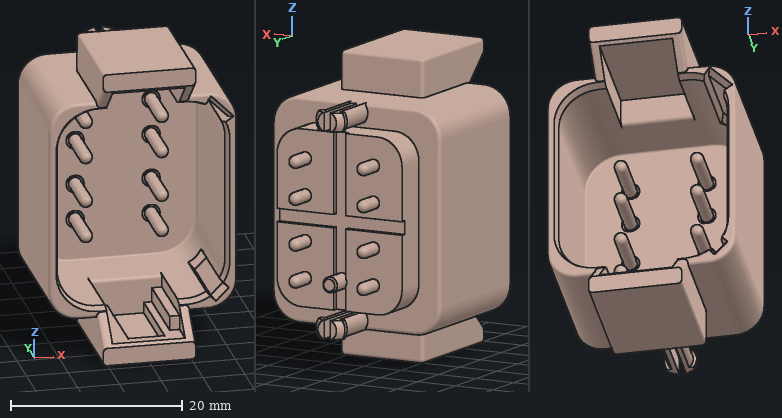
import cadquery as cq
import math

shell_width = 22.47
shell_height = 26.98
shell_front = 3.53
shell_back = 20.65
shell_corner = 3.45
edge_radius = 0.47

cavity_width = 20.07
cavity_height = 24.58
cavity_corner = 4.73
cavity_floor = 19.45
cavity_floor_radius = 0.3
lead_in = 0.35
lead_in_depth = 1.0

key_floor = 5.35
key_mouth = 5.93
key_root = 4.65
key_ramp_start = 13.1
key_back = 14.18
lower_key_width = 2.18
upper_key_inner_width = 3.35
upper_key_outer_width = 3.8

tab_width = 11.1
tab_top = 18.18
tab_lip = 16.0
tab_back = 14.55
tab_root = 12.75
pocket_width = 8.7
pocket_roof = 15.65
pocket_back = 12.9
pocket_edge_radius = 0.55
bar_width = 1.2
bar_height = 1.75
bar_front = 3.35
recess_width = 4.35
recess_depth = 1.3
recess_front = 1.7

block_width = 16.7
block_height = 21.15
block_corner = 3.25
block_back = 24.7
groove_width = 1.6
groove_depth = 0.6

pin_radius = 0.75
pin_x = 4.55
pin_rows = (-7.13, -2.73, 2.73, 7.13)
pin_front = 13.1
pin_back = 27.85
pin_relief_radius = 1.05
pin_relief_depth = 0.18
peg_radius = 0.95
peg_back = 27.15
peg_chamfer = 0.2

post_radius = 1.53
post_thickness = 2.25
post_back = 27.67
head_radius = 1.93
head_front = 26.32
head_shoulder = 26.87
head_tip_radius = 1.25
slit_width = 0.8
slit_front = 21.05


def at_y(y):
    """Plane across the part at y, with local x = X and local y = Z."""
    return cq.Workplane(cq.Plane((0, y, 0), xDir=(1, 0, 0), normal=(0, -1, 0)))


def box(x_range, y_range, z_range):
    """Box between the given limits."""
    corners = list(zip(x_range, y_range, z_range))
    size = [high - low for low, high in zip(*corners)]
    return cq.Workplane("XY").box(*size, centered=False).translate(corners[0])


def rounded_block(width, height, corner, y_front, y_back):
    block = at_y(y_back).rect(width, height).extrude(y_back - y_front)
    return block.edges("|Y").fillet(corner)


def cylinder(radius, x, z, y_front, y_back):
    return at_y(y_back).center(x, z).circle(radius).extrude(y_back - y_front)


def cavity():
    """Main cavity with a rounded floor edge and a tapered lead-in at the mouth."""
    bore = rounded_block(cavity_width, cavity_height, cavity_corner, shell_front, cavity_floor)
    bore = bore.faces(">Y").edges().fillet(cavity_floor_radius)
    outline = cq.Sketch().rect(cavity_width, cavity_height).vertices().fillet(cavity_corner)
    flare = math.degrees(math.atan2(lead_in, lead_in_depth))
    mouth = at_y(shell_front + lead_in_depth).placeSketch(outline).extrude(lead_in_depth, taper=-flare)
    return bore.union(mouth)


def keyway(side, inner_width, outer_width):
    """Ramped groove along a +X corner of the cavity; side is +1 for upper, -1 for lower."""
    profile = (
        cq.Workplane("XY")
        .moveTo(0, shell_front)
        .lineTo(key_mouth, shell_front)
        .lineTo(key_floor, shell_front + lead_in_depth)
        .lineTo(key_floor, key_ramp_start)
        .lineTo(key_root, key_back)
        .lineTo(0, key_back)
        .close()
        .extrude(outer_width, both=True)
    )
    plan = (
        at_y(key_back)
        .moveTo(key_root, -inner_width / 2)
        .lineTo(key_mouth, -outer_width / 2)
        .lineTo(key_mouth, outer_width / 2)
        .lineTo(key_root, inner_width / 2)
        .lineTo(cavity_corner / 2, inner_width / 2)
        .lineTo(cavity_corner / 2, -inner_width / 2)
        .close()
        .extrude(key_back - shell_front)
    )
    corner_x = cavity_width / 2 - cavity_corner
    corner_z = side * (cavity_height / 2 - cavity_corner)
    groove = profile.intersect(plan).rotate((0, 0, 0), (0, 1, 0), -45 * side)
    return groove.translate((corner_x, 0, corner_z))


def tab():
    """Upper latch tab with a sloped front."""
    outline = [
        (0, tab_top),
        (tab_back, tab_top),
        (tab_back, tab_root),
        (shell_front, tab_root),
        (0, tab_lip),
    ]
    body = cq.Workplane("YZ").polyline(outline).close().extrude(tab_width / 2, both=True)
    side_edges = "(|Z and >Y) or (|Y and >Z) or (not (|X or |Y or |Z))"
    back_edge = "(|X and >Y and >Z)"
    return body.edges(f"{side_edges} or {back_edge}").fillet(edge_radius)


def pocket():
    """Recess inside the upper tab, open to the cavity and to the sloped front."""
    half = pocket_width / 2
    wall = cavity_height / 2
    inside = wall - cavity_corner
    hollow = box((-half, half), (0, pocket_back), (inside, pocket_roof))
    corner_end = pocket_back + pocket_edge_radius
    round_edge = box((-half, half), (pocket_back, corner_end), (wall, wall + pocket_edge_radius))
    rod = (
        cq.Workplane("YZ")
        .center(corner_end, wall + pocket_edge_radius)
        .circle(pocket_edge_radius)
        .extrude(half, both=True)
    )
    return hollow.union(round_edge.cut(rod))


def grip_bar():
    """Bar on the pocket floor of the lower tab, against its +X wall."""
    half = pocket_width / 2
    return box(
        (half - bar_width, half),
        (bar_front, pocket_back),
        (-pocket_roof, -pocket_roof + bar_height),
    )


def floor_recess():
    """Shallow pocket sunk into the floor of the lower tab."""
    return box(
        (-recess_width / 2, recess_width / 2),
        (recess_front, pocket_back),
        (-pocket_roof - recess_depth, -pocket_roof),
    )


def rear_block():
    """Block on the mounting side with two crossed grooves in its end face."""
    block = rounded_block(block_width, block_height, block_corner, shell_back, block_back)
    grooves = at_y(block_back).rect(block_width, groove_width).extrude(groove_depth)
    grooves = grooves.union(at_y(block_back).rect(groove_width, block_height).extrude(groove_depth))
    return block.cut(grooves)


def contact_pin(x, z):
    pin = cylinder(pin_radius, x, z, pin_front + pin_radius, pin_back - pin_radius)
    for tip_y in (pin_front + pin_radius, pin_back - pin_radius):
        pin = pin.union(cq.Workplane("XY").sphere(pin_radius).translate((x, tip_y, z)))
    return pin


def snap_post():
    """Upper split post: a flatted round stem with a cone-tipped head."""
    axis_z = (shell_height - post_thickness) / 2
    stem_front = shell_back - edge_radius
    post = (
        cq.Workplane("XY")
        .moveTo(0, stem_front)
        .lineTo(post_radius, stem_front)
        .lineTo(post_radius, head_front)
        .lineTo(head_radius, head_front)
        .lineTo(head_radius, head_shoulder)
        .lineTo(head_tip_radius, post_back)
        .lineTo(0, post_back)
        .close()
        .revolve(360, (0, 0), (0, 1))
    )
    half = post_thickness / 2
    flats = box((-head_radius, head_radius), (stem_front, post_back), (-half, half))
    return post.intersect(flats).translate((0, 0, axis_z))


def post_slit():
    """Round-ended slit that splits the upper post into two prongs."""
    round_y = slit_front + slit_width / 2
    bottom = shell_height / 2 - post_thickness
    slit = box((-slit_width / 2, slit_width / 2), (round_y, post_back), (bottom, shell_height / 2))
    end = cq.Workplane("XY").center(0, round_y).circle(slit_width / 2).extrude(post_thickness)
    return slit.union(end.translate((0, 0, bottom)))


shell = rounded_block(shell_width, shell_height, shell_corner, shell_front, shell_back)
shell = shell.faces("<Y or >Y").edges().fillet(edge_radius)
upper_tab = tab()
shell = shell.union(upper_tab).union(upper_tab.mirror("XY"))
shell = shell.union(rear_block())

upper_pocket = pocket()
shell = shell.cut(cavity()).cut(upper_pocket).cut(upper_pocket.mirror("XY"))
shell = shell.cut(keyway(1, upper_key_inner_width, upper_key_outer_width))
shell = shell.cut(keyway(-1, lower_key_width, lower_key_width))
shell = shell.union(grip_bar()).cut(floor_recess())

upper_post = snap_post()
upper_slit = post_slit()
shell = shell.union(upper_post).union(upper_post.mirror("XY"))
shell = shell.cut(upper_slit).cut(upper_slit.mirror("XY"))

peg = cylinder(peg_radius, 0, pin_rows[0], cavity_floor + edge_radius, peg_back)
shell = shell.union(peg.faces(">Y").chamfer(peg_chamfer))

result = shell
for pin_column in (-pin_x, pin_x):
    for pin_row in pin_rows:
        relief_floor = cavity_floor + pin_relief_depth
        relief = cylinder(pin_relief_radius, pin_column, pin_row, cavity_floor, relief_floor)
        result = result.cut(relief).union(contact_pin(pin_column, pin_row))